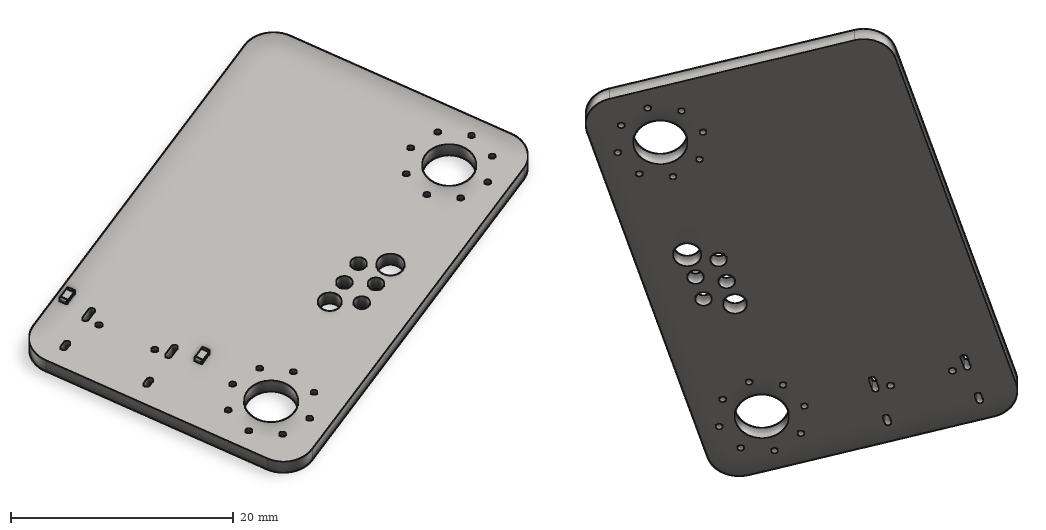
import cadquery as cq
import math

BOARD_X = 29.0
BOARD_Y = 44.0
BOARD_THICKNESS = 1.6
CORNER_RADIUS = 3.0

MOUNT_X = 8.5
MOUNT_Y = 16.0
MOUNT_DIAMETER = 4.9
VIA_COUNT = 8
VIA_RING_RADIUS = 4.0
VIA_DIAMETER = 0.6

HEADER_X = MOUNT_X
HEADER_PITCH = 2.55
HEADER_PIN_DIAMETER = 1.5
HEADER_LOCATOR_Y = 3.25
UPPER_LOCATOR_DIAMETER = 2.55
LOWER_LOCATOR_DIAMETER = 2.15

CONNECTOR_X = -6.5
SLOT_OFFSET_X = 4.3
SLOT_WIDTH = 0.6
LONG_SLOT_LENGTH = 1.7
LONG_SLOT_Y = -15.45
SHORT_SLOT_LENGTH = 1.2
SLOT_ROW_SPACING = 4.2
SHORT_SLOT_Y = LONG_SLOT_Y - SLOT_ROW_SPACING
PEG_OFFSET_X = 2.9
PEG_Y = -MOUNT_Y
PEG_DIAMETER = 0.65

CHIP_WIDTH = 0.8
CHIP_LENGTH = 1.6
CHIP_HEIGHT = 0.45
CHIP_CAP_LENGTH = 0.25
CHIP_CORE_INSET = 0.05
CHIP_END_FILLET = 0.1
CHIP_CENTRES_X = (-13.5, 0.55)
CHIP_Y = -14.65


def drill(points, diameter):
    """Cutters for round holes through the board."""
    return cq.Workplane("XY").pushPoints(points).circle(diameter / 2).extrude(BOARD_THICKNESS)


def mill_slots(points, length):
    """Cutters for round-ended slots along Y through the board."""
    return cq.Workplane("XY").pushPoints(points).slot2D(length, SLOT_WIDTH, 90).extrude(BOARD_THICKNESS)


def mirrored_pair(offset, y):
    """Two points placed either side of the connector's centre line."""
    return [(CONNECTOR_X - offset, y), (CONNECTOR_X + offset, y)]


def cut_mounts(board):
    for centre_y in (-MOUNT_Y, MOUNT_Y):
        via_angles = [2 * math.pi * i / VIA_COUNT for i in range(VIA_COUNT)]
        vias = [
            (MOUNT_X + VIA_RING_RADIUS * math.cos(a), centre_y + VIA_RING_RADIUS * math.sin(a))
            for a in via_angles
        ]
        board = board.cut(drill([(MOUNT_X, centre_y)], MOUNT_DIAMETER))
        board = board.cut(drill(vias, VIA_DIAMETER))
    return board


def cut_header(board):
    left = HEADER_X - HEADER_PITCH / 2
    right = HEADER_X + HEADER_PITCH / 2
    near_y = HEADER_PITCH / 4
    far_y = near_y + HEADER_PITCH / 2
    pins = [(left, far_y), (left, -near_y), (right, near_y), (right, -far_y)]
    board = board.cut(drill(pins, HEADER_PIN_DIAMETER))
    board = board.cut(drill([(right, HEADER_LOCATOR_Y)], UPPER_LOCATOR_DIAMETER))
    return board.cut(drill([(left, -HEADER_LOCATOR_Y)], LOWER_LOCATOR_DIAMETER))


def cut_connector(board):
    board = board.cut(mill_slots(mirrored_pair(SLOT_OFFSET_X, LONG_SLOT_Y), LONG_SLOT_LENGTH))
    board = board.cut(mill_slots(mirrored_pair(SLOT_OFFSET_X, SHORT_SLOT_Y), SHORT_SLOT_LENGTH))
    return board.cut(drill(mirrored_pair(PEG_OFFSET_X, PEG_Y), PEG_DIAMETER))


def make_board():
    board = cq.Workplane("XY").box(BOARD_X, BOARD_Y, BOARD_THICKNESS, centered=(True, True, False))
    board = board.edges("|Z").fillet(CORNER_RADIUS)
    board = cut_mounts(board)
    board = cut_header(board)
    return cut_connector(board)


def make_chip(x, y):
    """One chip standing on the board, its core recessed above and below between the end caps."""
    base = cq.Workplane("XY", origin=(x, y, BOARD_THICKNESS))
    cap_y = (CHIP_LENGTH - CHIP_CAP_LENGTH) / 2
    caps = base.pushPoints([(0, -cap_y), (0, cap_y)]).rect(CHIP_WIDTH, CHIP_CAP_LENGTH).extrude(CHIP_HEIGHT)
    caps = caps.edges("<Y or >Y").fillet(CHIP_END_FILLET)
    core_length = CHIP_LENGTH - 2 * CHIP_CAP_LENGTH
    core_height = CHIP_HEIGHT - 2 * CHIP_CORE_INSET
    core = base.workplane(offset=CHIP_CORE_INSET).rect(CHIP_WIDTH, core_length).extrude(core_height)
    return core.union(caps)


board = make_board()
chips = [make_chip(x, CHIP_Y) for x in CHIP_CENTRES_X]

result = cq.Compound.makeCompound([board.val(), *[chip.val() for chip in chips]])